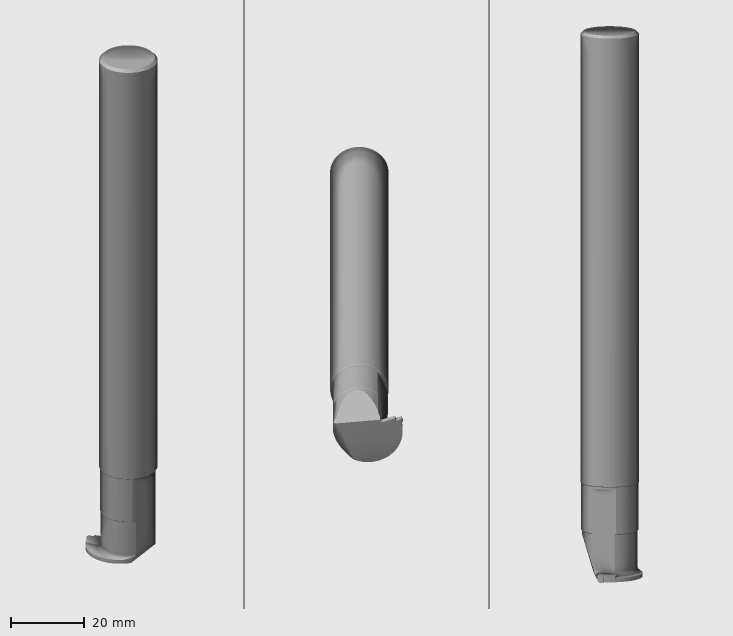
import math

import cadquery as cq

TOP_Z = 150.0
SHANK_RADIUS = 15.88 / 2
SHANK_CHAMFER = 0.75
SHANK_END_Z = 24.9

UPPER_NECK_RADIUS = 7.75
LOWER_NECK_RADIUS = 7.55
NECK_STEP_Z = 12.5
FLAT_X = -6.9
FLAT_FOOT = 0.2

CLEARANCE_RADIUS = 9.49
CLEARANCE_CENTER_X = -2.5
PLATE_THICKNESS = 1.1
FLARE_FILLET = 1.2
FLARE_RADIUS = LOWER_NECK_RADIUS + FLARE_FILLET
FLARE_TOP_Z = PLATE_THICKNESS + FLARE_FILLET
HEAD_CHAMFER = 2.5

FLUTE_Y = 2.0
FLUTE_SLOPE_X = 0.33
FLUTE_SLOPE_Z = 0.32

OVERALL_LENGTH = 150.03
INSERT_LOW_Z = TOP_Z - OVERALL_LENGTH
INSERT_WIDTH = 5.0
INSERT_TOP_Z = 1.6
INSERT_TURN = 4.5
INSERT_INNER_X = 1.1
INSERT_SIDE_POINT = (-11.1, -4.3)
RAKE_CORNER = (-10.85, 0.72)

OVERALL_WIDTH = 20.44
TIP_X = SHANK_RADIUS - OVERALL_WIDTH
TIP_Y = -0.1
TIP_LAND = 1.1
TIP_LAND_TAPER = 0.1
TIP_RELIEF_POINT = (-11.2, -1.0)
TIP_RELIEF_TURN = 45.0
TIP_RELIEF_SLOPE = 6.0

CUTTER_SIZE = 60.0


def half_space(origin, normal, x_direction):
    """Large block that starts at a plane and lies on the side its normal points to."""
    plane = cq.Plane(origin=origin, xDir=x_direction, normal=normal)
    return cq.Workplane(plane).rect(CUTTER_SIZE, CUTTER_SIZE).extrude(CUTTER_SIZE)


def line_y(point, x):
    """Y at the given X on the line through a point that follows the turned insert."""
    return point[1] + (x - point[0]) * math.tan(math.radians(INSERT_TURN))


def make_shank():
    """Plain cylinder, chamfered at both ends."""
    shank = cq.Workplane("XY", origin=(0, 0, SHANK_END_Z)).circle(SHANK_RADIUS).extrude(TOP_Z - SHANK_END_Z)
    return shank.faces("<Z or >Z").chamfer(SHANK_CHAMFER)


def make_neck():
    """Two neck diameters joined by a 45 degree cone, and a fillet that flares onto the plate."""
    neck_step = UPPER_NECK_RADIUS - LOWER_NECK_RADIUS
    neck_top_z = SHANK_END_Z + SHANK_CHAMFER
    flare_middle = (
        LOWER_NECK_RADIUS + FLARE_FILLET * (1 - math.sqrt(0.5)),
        PLATE_THICKNESS + FLARE_FILLET * (1 - math.sqrt(0.5)),
    )
    profile = (
        cq.Workplane("XZ")
        .lineTo(FLARE_RADIUS, 0)
        .lineTo(FLARE_RADIUS, PLATE_THICKNESS)
        .threePointArc(flare_middle, (LOWER_NECK_RADIUS, FLARE_TOP_Z))
        .lineTo(LOWER_NECK_RADIUS, NECK_STEP_Z - neck_step)
        .lineTo(UPPER_NECK_RADIUS, NECK_STEP_Z)
        .lineTo(UPPER_NECK_RADIUS, neck_top_z)
        .lineTo(0, neck_top_z)
        .close()
    )
    neck = profile.revolve(360, (0, 0), (0, 1))
    neck = neck.intersect(clearance_cylinder(0, neck_top_z))
    return neck.cut(make_flat_cutter())


def make_flat_cutter():
    """Cutter for the flat on the -X side, which slopes outward where it meets the insert."""
    outer_x = -CUTTER_SIZE
    section = [
        (FLAT_X, SHANK_END_Z),
        (FLAT_X, FLARE_TOP_Z),
        (FLAT_X - FLAT_FOOT, INSERT_TOP_Z),
        (FLAT_X - FLAT_FOOT, 0),
        (outer_x, 0),
        (outer_x, SHANK_END_Z),
    ]
    return cq.Workplane("XZ").polyline(section).close().extrude(CUTTER_SIZE / 2, both=True)


def clearance_cylinder(bottom_z, top_z):
    return (
        cq.Workplane("XY", origin=(CLEARANCE_CENTER_X, 0, bottom_z))
        .circle(CLEARANCE_RADIUS)
        .extrude(top_z - bottom_z)
    )


def make_plate():
    """Thin crescent plate on the -Y side of the insert, following the clearance cylinder."""
    left = CLEARANCE_CENTER_X - CLEARANCE_RADIUS
    right = CLEARANCE_CENTER_X + CLEARANCE_RADIUS
    front = -CLEARANCE_RADIUS
    keep = [
        (left, front),
        (right, front),
        (right, line_y(INSERT_SIDE_POINT, right)),
        (left, line_y(INSERT_SIDE_POINT, left)),
    ]
    keep_block = cq.Workplane("XY").polyline(keep).close().extrude(PLATE_THICKNESS)
    return clearance_cylinder(0, PLATE_THICKNESS).intersect(keep_block)


def make_flute():
    """Block cut away on the +Y side, in front of the cutting edge."""
    normal = (-FLUTE_SLOPE_X, 1, -FLUTE_SLOPE_Z)
    return half_space((FLAT_X, FLUTE_Y, 0), normal, (1, FLUTE_SLOPE_X, 0))


def make_head_chamfer():
    """45 degree chamfer under the head on the +X side."""
    right = CLEARANCE_CENTER_X + CLEARANCE_RADIUS
    return half_space((right, 0, HEAD_CHAMFER), (1, 0, -1), (0, 1, 0))


def make_insert():
    """Turned bar with a clearance arc at its outer end, a stepped tip and a relieved top corner."""
    land_y = TIP_Y - TIP_LAND
    flank_x = CLEARANCE_CENTER_X - math.sqrt(CLEARANCE_RADIUS**2 - land_y**2)
    side_y = INSERT_SIDE_POINT[1]
    outer_x = CLEARANCE_CENTER_X - math.sqrt(CLEARANCE_RADIUS**2 - side_y**2)
    middle_y = (land_y + side_y) / 2
    middle_x = CLEARANCE_CENTER_X - math.sqrt(CLEARANCE_RADIUS**2 - middle_y**2)
    outline = (
        cq.Workplane("XY", origin=(0, 0, INSERT_LOW_Z))
        .moveTo(outer_x, side_y)
        .threePointArc((middle_x, middle_y), (flank_x, land_y))
        .lineTo(TIP_X + TIP_LAND_TAPER, land_y)
        .lineTo(TIP_X, TIP_Y)
        .lineTo(RAKE_CORNER[0], TIP_Y)
        .lineTo(*RAKE_CORNER)
        .lineTo(INSERT_INNER_X, line_y(RAKE_CORNER, INSERT_INNER_X))
        .lineTo(INSERT_INNER_X, line_y(INSERT_SIDE_POINT, INSERT_INNER_X))
        .close()
    )
    bar = outline.extrude(INSERT_TOP_Z - INSERT_LOW_Z)
    return bar.cut(make_bottom_relief()).cut(make_tip_relief())


def make_bottom_relief():
    """Bottom clearance: rises from the +Y edge of the insert to the holder's bottom face."""
    insert_turn = math.radians(INSERT_TURN)
    rise = -INSERT_LOW_Z / INSERT_WIDTH
    along = (math.cos(insert_turn), math.sin(insert_turn), 0)
    normal = (math.sin(insert_turn) * rise, -math.cos(insert_turn) * rise, -1)
    return half_space((*RAKE_CORNER, INSERT_LOW_Z), normal, along)


def make_tip_relief():
    """Shallow slope ground into the top face beside the cutting tip."""
    turn = math.radians(TIP_RELIEF_TURN)
    slope = math.tan(math.radians(TIP_RELIEF_SLOPE))
    normal = (-math.cos(turn) * slope, math.sin(turn) * slope, 1)
    along = (math.sin(turn), math.cos(turn), 0)
    return half_space((*TIP_RELIEF_POINT, INSERT_TOP_Z), normal, along)


insert = make_insert()
holder = make_neck().union(make_plate()).cut(make_flute()).cut(make_head_chamfer())
holder = holder.union(make_shank()).cut(insert)

result = cq.Compound.makeCompound([holder.val(), insert.val()])